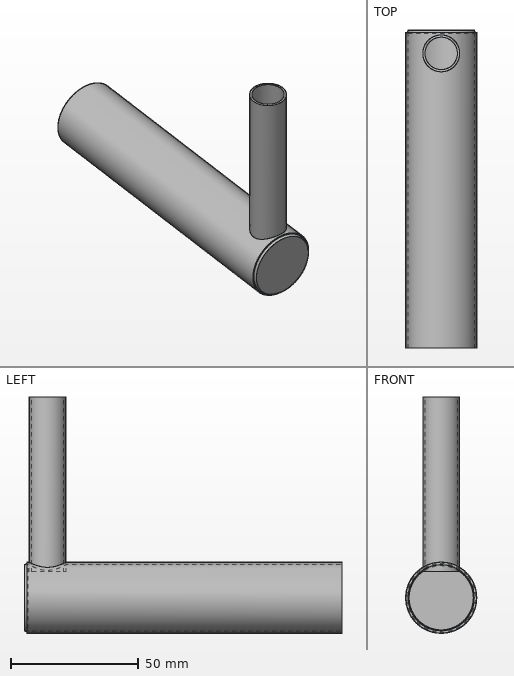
import cadquery as cq

LENGTH = 125.0
PIPE_RADIUS = 14.0
WALL = 1.0
TOTAL_HEIGHT = 93.0

END_LENGTH = 1.0
END_STEP = 0.5
END_TAPER = 0.5
FLOOR_CHAMFER = 0.4

BRANCH_RADIUS = 7.2
BRANCH_WALL = 0.9
BRANCH_SETBACK = 9.1
BRANCH_FOOT = 10.2

BORE_RADIUS = PIPE_RADIUS - WALL
OPEN_Y = -LENGTH / 2
CLOSED_Y = LENGTH / 2
RIM_Y = CLOSED_Y - END_LENGTH
FLOOR_Y = CLOSED_Y - WALL
TAPER_RADIUS = PIPE_RADIUS - END_STEP
BRANCH_TOP = TOTAL_HEIGHT - PIPE_RADIUS
BRANCH_Y = CLOSED_Y - BRANCH_SETBACK


def upright(radius):
    """Cylinder on the branch axis, from the foot to the open top."""
    plane = cq.Workplane("XY", origin=(0, BRANCH_Y, BRANCH_FOOT))
    return plane.circle(radius).extrude(BRANCH_TOP - BRANCH_FOOT)


def make_main_pipe():
    """Pipe open at -Y and closed at +Y, with a hole that takes the branch."""
    half_section = (
        cq.Workplane("XY")
        .moveTo(BORE_RADIUS, OPEN_Y)
        .lineTo(PIPE_RADIUS, OPEN_Y)
        .lineTo(PIPE_RADIUS, RIM_Y)
        .lineTo(TAPER_RADIUS, RIM_Y)
        .lineTo(TAPER_RADIUS - END_TAPER, CLOSED_Y)
        .lineTo(0, CLOSED_Y)
        .lineTo(0, FLOOR_Y)
        .lineTo(BORE_RADIUS - FLOOR_CHAMFER, FLOOR_Y)
        .lineTo(BORE_RADIUS, FLOOR_Y - FLOOR_CHAMFER)
        .close()
    )
    body = half_section.revolve(360, (0, 0, 0), (0, 1, 0))
    return body.cut(upright(BRANCH_RADIUS))


def make_branch_pipe():
    """Open tube whose flat foot reaches into the bore of the main pipe."""
    return upright(BRANCH_RADIUS).cut(upright(BRANCH_RADIUS - BRANCH_WALL))


main_pipe = make_main_pipe()
branch_pipe = make_branch_pipe()

result = cq.Compound.makeCompound([main_pipe.val(), branch_pipe.val()])